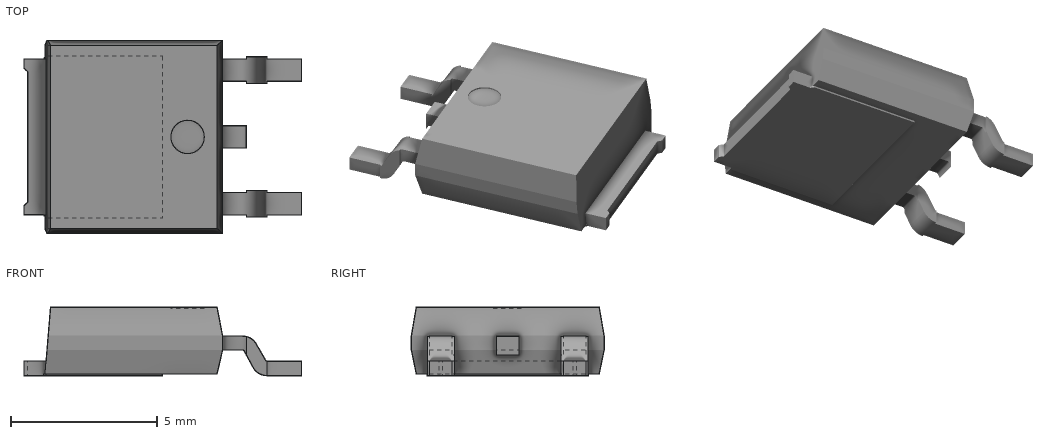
import cadquery as cq
import math


OVERALL_LENGTH = 9.5
OVERALL_HEIGHT = 2.35

LEAD_THICKNESS = 0.48
LEAD_FOOT_THICKNESS = 0.5
LEAD_TOP = 1.36
LEAD_WIDTH = 0.77
LEAD_PITCH = 2.286
BEND_START = 7.48
BEND_ANGLE = math.radians(60)
BEND_INNER_RADIUS = 0.06
WIDE_START = 7.61
WIDE_WIDTH = 0.92
LEAD_ROOT = 6.0

BODY_BOTTOM = 0.06
BODY_WIDTH = 6.6
BODY_END_WIDTH = 6.26
BODY_LEFT_BOTTOM = 0.72
BODY_LEFT_TOP = 0.91
BODY_RIGHT = 6.8
BODY_RIGHT_END = 6.61
BAND_TOP = LEAD_TOP
BAND_BOTTOM = LEAD_TOP - LEAD_THICKNESS

MARK_X = 5.6
MARK_DIAMETER = 1.14
MARK_DEPTH = 0.05

TAB_THICKNESS = 0.51
TAB_WIDTH = 5.34
PAD_WIDTH = 5.53
PAD_WIDENING_START = 0.67
PAD_END = 4.74
NOTCH_DEPTH = 0.13
NOTCH_WIDTH = 4.7
NOTCH_CHAMFER = 0.12


def make_body():
    """Body tapering above and below a straight band, with one sloping plane as its tab side."""
    side_profile = [
        (BODY_LEFT_BOTTOM, BODY_BOTTOM),
        (BODY_RIGHT_END, BODY_BOTTOM),
        (BODY_RIGHT, BAND_BOTTOM),
        (BODY_RIGHT, BAND_TOP),
        (BODY_RIGHT_END, OVERALL_HEIGHT),
        (BODY_LEFT_TOP, OVERALL_HEIGHT),
    ]
    half_width = BODY_WIDTH / 2
    half_end_width = BODY_END_WIDTH / 2
    end_profile = [
        (-half_end_width, BODY_BOTTOM),
        (half_end_width, BODY_BOTTOM),
        (half_width, BAND_BOTTOM),
        (half_width, BAND_TOP),
        (half_end_width, OVERALL_HEIGHT),
        (-half_end_width, OVERALL_HEIGHT),
        (-half_width, BAND_TOP),
        (-half_width, BAND_BOTTOM),
    ]
    side_prism = cq.Workplane("XZ").polyline(side_profile).close().extrude(BODY_WIDTH / 2, both=True)
    end_prism = cq.Workplane("YZ").polyline(end_profile).close().extrude(OVERALL_LENGTH)
    return side_prism.intersect(end_prism)


def make_pin_mark():
    """Shallow round recess in the top face."""
    return (
        cq.Workplane("XY", origin=(MARK_X, 0, OVERALL_HEIGHT - MARK_DEPTH))
        .circle(MARK_DIAMETER / 2)
        .extrude(MARK_DEPTH)
    )


def extrude_symmetric_outline(upper_outline, thickness):
    """Plate on the seating plane whose outline is mirrored about the middle plane."""
    lower_outline = [(x, -y) for x, y in reversed(upper_outline)]
    return cq.Workplane("XY").polyline(upper_outline + lower_outline).close().extrude(thickness)


def make_tab():
    """Drain tab with a chamfered notch in its outer edge, running on into the body."""
    half_tab = TAB_WIDTH / 2
    half_notch = NOTCH_WIDTH / 2
    outline = [
        (NOTCH_DEPTH, half_notch - NOTCH_CHAMFER),
        (0, half_notch),
        (0, half_tab),
        (PAD_END, half_tab),
    ]
    return extrude_symmetric_outline(outline, TAB_THICKNESS)


def make_pad():
    """Thin heat pad filling the gap under the body, widening at 45 degrees from the tab."""
    half_tab = TAB_WIDTH / 2
    half_pad = PAD_WIDTH / 2
    widening_end = PAD_WIDENING_START + half_pad - half_tab
    outline = [
        (PAD_WIDENING_START, half_tab),
        (widening_end, half_pad),
        (PAD_END, half_pad),
    ]
    return extrude_symmetric_outline(outline, BODY_BOTTOM)


def point_on_arc(center, radius, angle):
    """Point at a radius from a bend centre, the angle measured from +Z towards +X."""
    x, z = center
    return (x + radius * math.sin(angle), z + radius * math.cos(angle))


FIRST_OUTER_RADIUS = BEND_INNER_RADIUS + LEAD_THICKNESS
SECOND_OUTER_RADIUS = BEND_INNER_RADIUS + LEAD_FOOT_THICKNESS
FIRST_CENTER_Z = LEAD_TOP - FIRST_OUTER_RADIUS
SECOND_CENTER_Z = SECOND_OUTER_RADIUS
BEND_DROP = FIRST_CENTER_Z - SECOND_CENTER_Z
BEND_RUN = (
    FIRST_OUTER_RADIUS + BEND_INNER_RADIUS + BEND_DROP * math.cos(BEND_ANGLE)
) / math.sin(BEND_ANGLE)
BEND_END = BEND_START + BEND_RUN


def make_formed_strip(width):
    """Full-length lead strip of the given width: level, bent down, then level at the foot."""
    first = (BEND_START, FIRST_CENTER_Z)
    second = (BEND_END, SECOND_CENTER_Z)
    half_angle = BEND_ANGLE / 2
    turn = math.pi
    return (
        cq.Workplane("XZ")
        .moveTo(LEAD_ROOT, LEAD_TOP)
        .lineTo(BEND_START, LEAD_TOP)
        .threePointArc(
            point_on_arc(first, FIRST_OUTER_RADIUS, half_angle),
            point_on_arc(first, FIRST_OUTER_RADIUS, BEND_ANGLE),
        )
        .lineTo(*point_on_arc(second, BEND_INNER_RADIUS, turn + BEND_ANGLE))
        .threePointArc(
            point_on_arc(second, BEND_INNER_RADIUS, turn + half_angle),
            (BEND_END, LEAD_FOOT_THICKNESS),
        )
        .lineTo(OVERALL_LENGTH, LEAD_FOOT_THICKNESS)
        .lineTo(OVERALL_LENGTH, 0)
        .lineTo(BEND_END, 0)
        .threePointArc(
            point_on_arc(second, SECOND_OUTER_RADIUS, turn + half_angle),
            point_on_arc(second, SECOND_OUTER_RADIUS, turn + BEND_ANGLE),
        )
        .lineTo(*point_on_arc(first, BEND_INNER_RADIUS, BEND_ANGLE))
        .threePointArc(
            point_on_arc(first, BEND_INNER_RADIUS, half_angle),
            (BEND_START, LEAD_TOP - LEAD_THICKNESS),
        )
        .lineTo(LEAD_ROOT, LEAD_TOP - LEAD_THICKNESS)
        .close()
        .extrude(width / 2, both=True)
    )


def keep_between(strip, x_start, x_end):
    """Part of a strip lying between two X positions."""
    slab = (
        cq.Workplane("XY", origin=(x_start, 0, 0))
        .box(x_end - x_start, BODY_WIDTH, OVERALL_HEIGHT, centered=(False, True, False))
    )
    return strip.intersect(slab)


def make_outer_lead():
    """Formed lead with a wider portion over its bends."""
    wide_portion = keep_between(make_formed_strip(WIDE_WIDTH), WIDE_START, BEND_END)
    return make_formed_strip(LEAD_WIDTH).union(wide_portion)


def make_middle_lead():
    """Lead cut off just past the start of its first bend."""
    return keep_between(make_formed_strip(LEAD_WIDTH), LEAD_ROOT, WIDE_START)


result = make_body().cut(make_pin_mark())
result = result.union(make_tab()).union(make_pad()).union(make_middle_lead())
for side in (-1, 1):
    result = result.union(make_outer_lead().translate((0, side * LEAD_PITCH, 0)))